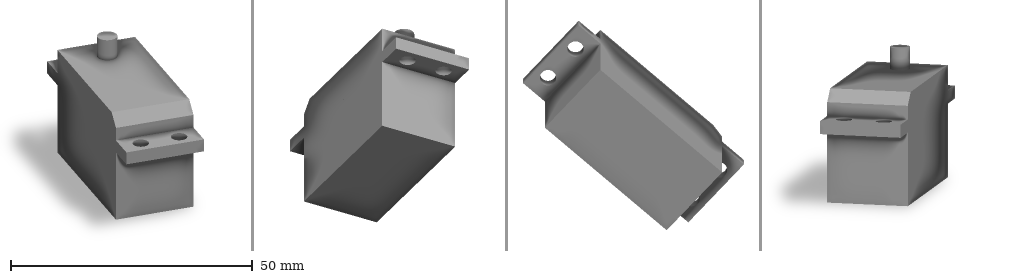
import cadquery as cq

overall_length = 45.95
case_length = 33.9
case_width = 17.2

bottom_height = 7.0
middle_height = 8.5
top_height = 8.15
shaft_height = 4.65

ear_thickness = 2.75
ear_length = (overall_length - case_length) / 2
hole_diameter = 3.4
hole_spacing_x = overall_length - ear_length
hole_spacing_y = 8.5

shaft_diameter = 4.23
shaft_inset = 6.35
shaft_x = shaft_inset - case_length / 2
lid_chamfer = 2.5

middle_base = bottom_height
top_base = middle_base + middle_height
lid_level = top_base + top_height


def case_block(base, height, length=case_length):
    """Make a full-width block that stands on the given level."""
    block = cq.Workplane("XY").box(length, case_width, height, centered=(True, True, False))
    return block.translate((0, 0, base))


def make_top_case():
    """Make the chamfered lid with its drilled ears and output shaft."""
    lid = case_block(top_base, top_height).edges(">X and >Z").chamfer(lid_chamfer)
    ears = case_block(top_base, ear_thickness, overall_length)
    mounting_holes = (
        cq.Workplane("XY", origin=(0, 0, top_base))
        .rarray(hole_spacing_x, hole_spacing_y, 2, 2)
        .circle(hole_diameter / 2)
        .extrude(ear_thickness)
    )
    shaft = (
        cq.Workplane("XY", origin=(shaft_x, 0, lid_level))
        .circle(shaft_diameter / 2)
        .extrude(shaft_height)
    )
    return lid.union(ears).cut(mounting_holes).union(shaft)


bottom_case = case_block(0, bottom_height)
middle_case = case_block(middle_base, middle_height)
top_case = make_top_case()

result = cq.Compound.makeCompound([bottom_case.val(), middle_case.val(), top_case.val()])